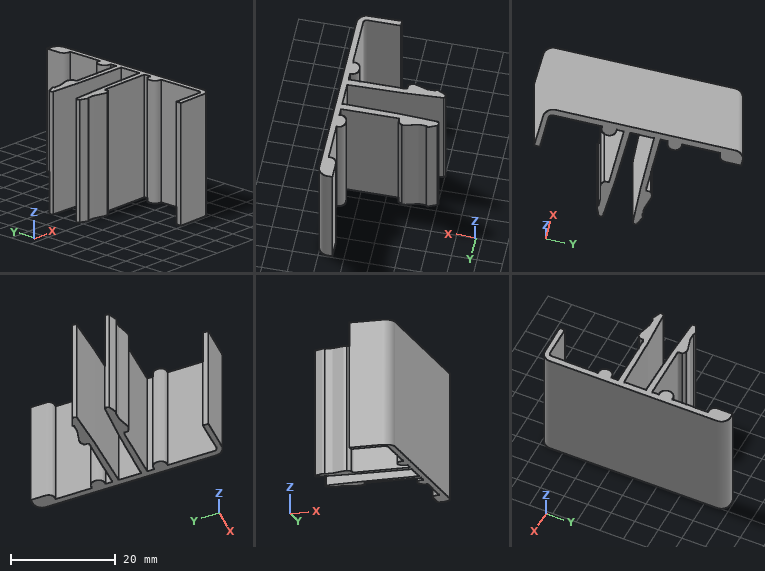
import cadquery as cq

length = 25.0
width = 39.5
top_y = 20.0
bottom_y = top_y - width
plate_thickness = 1.3
front_x = -plate_thickness
overlap = plate_thickness / 2
outer_radius = 1.98

bead_depth = 2.95
bead_width = 4.55
bead_radius = 1.3

lip_reach = 8.55
lip_thickness = 1.2
lip_draft = 0.1
lip_inner_radius = 0.7

rib_offset = 6.48
rib_width = 2.85
rib_radius = 1.3
rib_depth = 2.9

arm_reach = 20.35
arm_outer = 3.65
arm_inner_root = 2.35
arm_inner_knee = 2.53
knee_depth = 12.32
tip_inner = (20.05, 2.92)
tip_middle = (arm_reach, 3.4)
tip_outer = (20.15, 3.87)
barb_start = (18.6, 4.55)
barb_peak = (18.4, 4.6)
barb_groove = 4.35
groove_start = 18.15
groove_end = 16.6
hook_crest = 5.05
crest_start = 14.1
crest_end = 13.45
hook_depth = 12.7
hook_shoulder = 4.6
hook_root_radius = 0.25


def box(x_min, x_max, y_min, y_max):
    """Full-length block between the given X and Y limits."""
    return (
        cq.Workplane("XY")
        .center((x_min + x_max) / 2, (y_min + y_max) / 2)
        .rect(x_max - x_min, y_max - y_min)
        .extrude(length)
    )


def make_plate_and_lip():
    lip_inner_y = bottom_y + lip_thickness
    return (
        cq.Workplane("XY")
        .moveTo(0, top_y)
        .lineTo(front_x, top_y)
        .lineTo(front_x, lip_inner_y + lip_inner_radius)
        .radiusArc((front_x - lip_inner_radius, lip_inner_y), lip_inner_radius)
        .lineTo(-lip_reach, lip_inner_y)
        .lineTo(-lip_reach, bottom_y)
        .lineTo(0, bottom_y + lip_draft)
        .close()
        .extrude(length)
    )


def make_bead():
    bead = box(-bead_depth, 0, top_y - bead_width, top_y)
    return bead.edges("|Z and <X and <Y").fillet(bead_radius)


def make_rib(center_y):
    rib = box(-rib_depth, -overlap, center_y - rib_width / 2, center_y + rib_width / 2)
    return rib.edges("|Z and <X").fillet(rib_radius)


def make_arm(side):
    """Snap arm on the +Y side (side = 1) or the -Y side (side = -1)."""

    def at(depth, offset):
        return (-depth, side * offset)

    return (
        cq.Workplane("XY")
        .moveTo(*at(overlap, arm_inner_root))
        .lineTo(*at(plate_thickness, arm_inner_root))
        .lineTo(*at(knee_depth, arm_inner_knee))
        .lineTo(*at(*tip_inner))
        .threePointArc(at(*tip_middle), at(*tip_outer))
        .lineTo(*at(*barb_start))
        .threePointArc(at(*barb_peak), at(groove_start, barb_groove))
        .lineTo(*at(groove_end, barb_groove))
        .lineTo(*at(crest_start, hook_crest))
        .lineTo(*at(crest_end, hook_crest))
        .lineTo(*at(hook_depth, hook_shoulder))
        .lineTo(*at(hook_depth, arm_outer + hook_root_radius))
        .radiusArc(at(hook_depth - hook_root_radius, arm_outer), side * -hook_root_radius)
        .lineTo(*at(overlap, arm_outer))
        .close()
        .extrude(length)
    )


result = make_plate_and_lip().union(make_bead())
result = result.edges("|Z and >X").fillet(outer_radius)
for side in (1, -1):
    result = result.union(make_rib(side * rib_offset))
    result = result.union(make_arm(side))